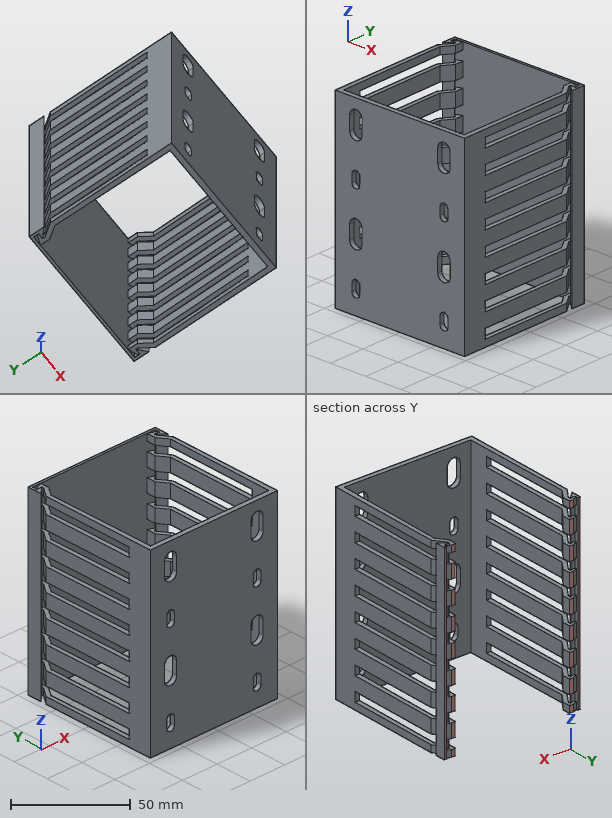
import cadquery as cq

width = 73.5
depth = 74.2
length = 100.0
half_width = width / 2

lid_thickness = 1.4
lid_underside = depth - lid_thickness
hook_ledge = depth - 4.0
hook_tip = depth - 4.4
hook_edge = depth - 7.8
hook_reach = 3.8

floor_thickness = 2.6
wall_root_thickness = 2.6
wall_thickness = 2.2

bend_outer = depth - 11.0
bend_inner = depth - 11.7
neck_outer = depth - 5.2
neck_inner = depth - 6.3
neck_inset = 4.1
rim_inset = 6.0
barb_tip = depth - 3.2

slot_count = 8
slot_pitch = length / slot_count
slot_width = 5.0
slot_start = 12.8

mount_count = 4
mount_pitch = length / mount_count
mount_spacing = 50.0
small_slot = (8.4, 4.4)
large_slot = (14.2, 7.0)


def extrude_symmetric(left_insets):
    """Extrude an outline given by its left half, as (inset from the outer face, Y) points."""
    left = [(inset - half_width, y) for inset, y in left_insets]
    right = [(-x, y) for x, y in reversed(left)]
    return cq.Workplane("XY").polyline(left + right).close().extrude(length)


def cut_wire_slots(body):
    """Cut through both walls from the closed slot ends to the rim."""
    slot_depth = depth - slot_start
    for i in range(slot_count):
        cutter = cq.Workplane("XY").box(width, slot_depth, slot_width, centered=(True, False, True))
        body = body.cut(cutter.translate((0, slot_start, (i + 0.5) * slot_pitch)))
    return body


def cut_mounting_slots(body):
    """Cut pairs of round-ended slots through the floor."""
    for i in range(mount_count):
        slot_length, slot_breadth = small_slot if i % 2 == 0 else large_slot
        z = (i + 0.5) * mount_pitch
        cutters = (
            cq.Workplane("XZ")
            .pushPoints([(-mount_spacing / 2, z), (mount_spacing / 2, z)])
            .slot2D(slot_length, slot_breadth, 90)
            .extrude(-floor_thickness)
        )
        body = body.cut(cutters)
    return body


def make_channel():
    """Slotted channel whose barbs sit behind the lid hooks and whose rims meet the lid."""
    outline = [
        (0, 0),
        (0, bend_outer),
        (neck_inset, neck_outer),
        (neck_inset, hook_ledge),
        (lid_thickness, hook_ledge),
        (lid_thickness, barb_tip),
        (rim_inset, lid_underside),
        (rim_inset, neck_inner),
        (wall_thickness, bend_inner),
        (wall_root_thickness, floor_thickness),
    ]
    return cut_mounting_slots(cut_wire_slots(extrude_symmetric(outline)))


def make_lid():
    """Snap-on lid with a hook along each side."""
    outline = [
        (0, depth),
        (0, hook_edge),
        (hook_reach, hook_tip),
        (hook_reach, hook_ledge),
        (lid_thickness, hook_ledge),
        (lid_thickness, lid_underside),
    ]
    return extrude_symmetric(outline)


channel = make_channel()
lid = make_lid()

result = cq.Compound.makeCompound([channel.val(), lid.val()])